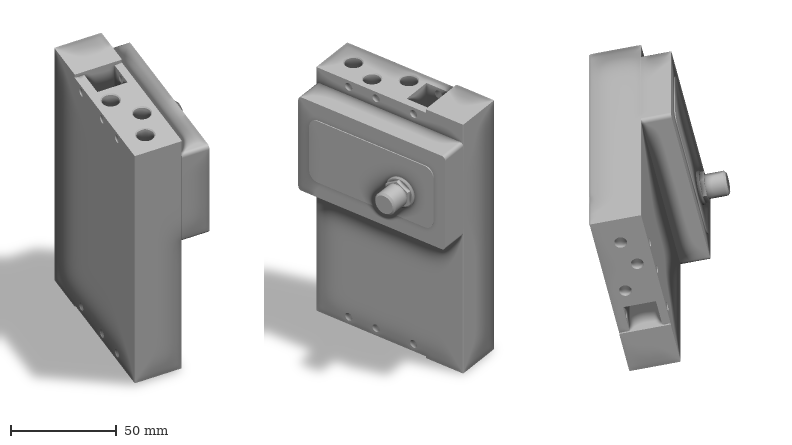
import cadquery as cq


housing_width = 86.0
housing_depth = 25.0
rail_width = 22.0
rail_height = 144.0
rail_overhang_top = 2.0
rail_overhang_bottom = 1.0
edge_radius = 0.5

x_left = -housing_width / 2
x_rail = x_left + rail_width
z_rail_bottom = -rail_height / 2
z_block_top = rail_height / 2 - rail_overhang_top
z_block_bottom = z_rail_bottom + rail_overhang_bottom
block_height = z_block_top - z_block_bottom

channel_width = 14.0
channel_depth = 16.0
channel_front_wall = 5.0
x_channel = x_rail + channel_width / 2

cross_hole_diameter = 4.2
cross_hole_xs = [x_channel, 8.0, 24.0]
cross_hole_zs = [66.3, -66.8]

ports = [(1.0, 8.1, 2.1, 8.2), (16.0, 17.2, 16.0, 17.1), (31.0, 11.5, 29.7, 12.1)]
port_bore_diameter = 8.6
port_mouth_diameter = 9.7
port_bore_depth = 15.0
port_passage_diameter = 6.0

cover_height = 54.0
cover_thickness = 14.5
cover_center_z = 34.4
cover_corner_radius = 2.0
y_cover = housing_depth + cover_thickness

label_width = 72.5
label_height = 35.5
label_thickness = 0.5
label_center_z = 34.2
label_corner_radius = 5.0

connector_x = -17.45
connector_z = 31.4
flange_diameter = 16.4
nut_across_flats = 13.0
barrel_diameter = 12.0
barrel_chamfer = 1.0
flange_chamfer = 0.5
y_flange_top = 41.4
y_nut_top = 43.4
y_barrel_top = 53.6


def rounded_column(x_min, width, z_min, height):
    """Block of full housing depth with rounded vertical edges."""
    column = cq.Workplane("XY").box(width, housing_depth, height, centered=False)
    return column.edges("|Z").fillet(edge_radius).translate((x_min, 0, z_min))


def back_plane(y, x=0, z=0):
    """Sketch plane at depth y facing +Y, with local x to -X and local y to +Z."""
    return cq.Workplane(cq.Plane(origin=(x, y, z), xDir=(-1, 0, 0), normal=(0, 1, 0)))


def make_housing():
    rail = rounded_column(x_left, rail_width, z_rail_bottom, rail_height)
    block = rounded_column(x_left, housing_width, z_block_bottom, block_height)
    return block.union(rail)


def make_channel():
    channel = cq.Workplane("XY").box(channel_width, channel_depth, rail_height, centered=False)
    return channel.translate((x_rail, channel_front_wall, z_rail_bottom))


def make_cross_holes():
    centers = [(-x, z) for x in cross_hole_xs for z in cross_hole_zs]
    return back_plane(0).pushPoints(centers).circle(cross_hole_diameter / 2).extrude(housing_depth)


def make_port(x, y, passage_x, passage_y):
    """Bore with a 45 degree mouth from the top, and a passage on to the bottom."""
    bore_radius = port_bore_diameter / 2
    mouth_radius = port_mouth_diameter / 2
    mouth_depth = mouth_radius - bore_radius
    outline = [
        (0, 0),
        (mouth_radius, 0),
        (bore_radius, -mouth_depth),
        (bore_radius, -port_bore_depth),
        (0, -port_bore_depth),
    ]
    bore = cq.Workplane("XZ").polyline(outline).close().revolve(360, (0, 0, 0), (0, 1, 0))
    passage = cq.Workplane("XY").center(passage_x - x, passage_y - y).circle(port_passage_diameter / 2)
    passage = passage.extrude(-block_height)
    return bore.union(passage).translate((x, y, z_block_top))


def make_cover():
    cover = back_plane(housing_depth, z=cover_center_z).rect(housing_width, cover_height)
    return cover.extrude(cover_thickness).edges("|Y").fillet(cover_corner_radius)


def make_label():
    label = back_plane(y_cover, z=label_center_z).rect(label_width, label_height)
    return label.extrude(label_thickness).edges("|Y").fillet(label_corner_radius)


def make_connector():
    flange = back_plane(y_cover, connector_x, connector_z).circle(flange_diameter / 2)
    flange = flange.extrude(y_flange_top - y_cover).faces(">Y").chamfer(flange_chamfer)
    nut = back_plane(y_flange_top, connector_x, connector_z)
    nut = nut.polygon(6, nut_across_flats, circumscribed=True).extrude(y_nut_top - y_flange_top)
    barrel = back_plane(y_nut_top, connector_x, connector_z).circle(barrel_diameter / 2)
    barrel = barrel.extrude(y_barrel_top - y_nut_top).faces(">Y").chamfer(barrel_chamfer)
    return flange.union(nut).union(barrel)


result = make_housing().cut(make_channel()).cut(make_cross_holes())
for port in ports:
    result = result.cut(make_port(*port))
result = result.union(make_cover()).union(make_label()).union(make_connector())